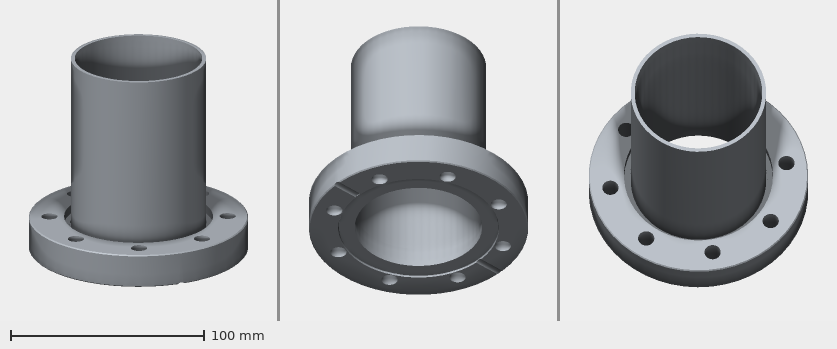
import cadquery as cq

ring_diameter = 113.5
ring_height = 17.6
ring_bore = 77.1
ring_edge_chamfer = 0.6
seat_diameter = 83.2
bolt_count = 8
bolt_circle = 92.2
bolt_hole = 8.4
groove_radius = 2.5
groove_depth = 0.9

total_height = 105.0
tube_outer = 70.0
tube_inner = 66.0

insert_diameter = 82.4
insert_bottom = groove_depth
insert_top = 12.9
socket_diameter = 71.2
socket_depth = 0.9
socket_floor = insert_top - socket_depth


def disc(diameter, bottom, top):
    """Cylinder on the Z axis between two heights."""
    return cq.Workplane("XY").workplane(offset=bottom).circle(diameter / 2).extrude(top - bottom)


def make_ring():
    """Bolt ring whose inner shoulder rests on top of the insert."""
    ring = disc(ring_diameter, 0, ring_height).edges().chamfer(ring_edge_chamfer)
    ring = ring.cut(disc(ring_bore, 0, ring_height))
    ring = ring.cut(disc(seat_diameter, 0, insert_top))
    bolt_holes = (
        cq.Workplane("XY")
        .polarArray(bolt_circle / 2, 180 / bolt_count, 360, bolt_count)
        .circle(bolt_hole / 2)
        .extrude(ring_height)
    )
    groove = (
        cq.Workplane("YZ")
        .center(0, groove_depth - groove_radius)
        .circle(groove_radius)
        .extrude(ring_diameter / 2, both=True)
    )
    return ring.cut(bolt_holes).cut(groove)


def make_insert():
    """Plain bored disc with a socket for the tube end."""
    insert = disc(insert_diameter, insert_bottom, insert_top)
    insert = insert.cut(disc(tube_inner, insert_bottom, insert_top))
    return insert.cut(disc(socket_diameter, socket_floor, insert_top))


def make_tube():
    """Straight tube standing on the socket floor."""
    return disc(tube_outer, socket_floor, total_height).cut(disc(tube_inner, socket_floor, total_height))


ring = make_ring()
insert = make_insert()
tube = make_tube()

result = cq.Compound.makeCompound([ring.val(), insert.val(), tube.val()])